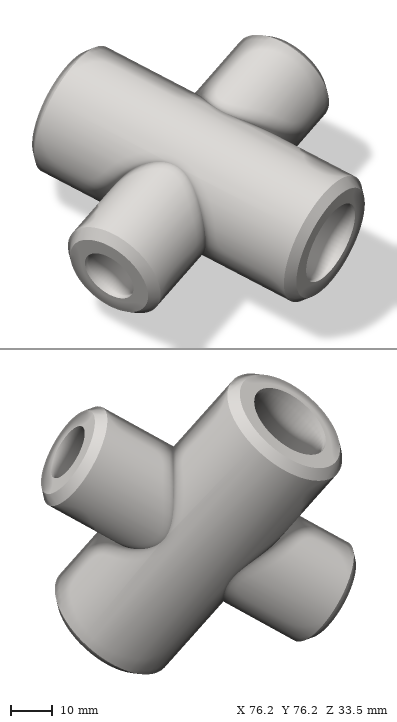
import cadquery as cq

overall_length = 76.2
run_diameter = 33.53
run_bore = 20.9
branch_diameter = 26.75
branch_bore = 14.0
end_chamfer = 2.15


def centered_cylinder(plane, diameter):
    """Cylinder of the overall length, centred on the origin, along the plane's normal."""
    return cq.Workplane(plane).circle(diameter / 2).extrude(overall_length / 2, both=True)


def chamfered_pipe_body(plane, diameter):
    """Solid pipe body with both outer end edges chamfered."""
    return centered_cylinder(plane, diameter).edges("%CIRCLE").chamfer(end_chamfer)


run_body = chamfered_pipe_body("YZ", run_diameter)
branch_body = chamfered_pipe_body("XZ", branch_diameter)
body = run_body.union(branch_body)

run_hole = centered_cylinder("YZ", run_bore)
branch_hole = centered_cylinder("XZ", branch_bore)
result = body.cut(run_hole).cut(branch_hole)